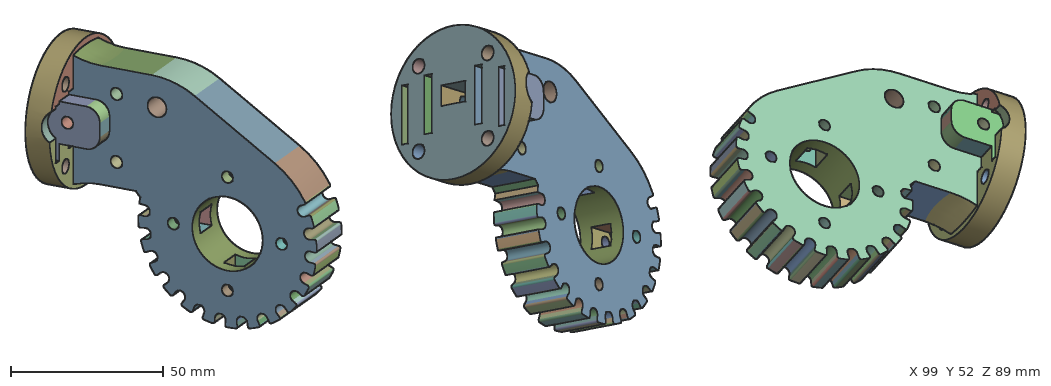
import cadquery as cq
import math


wheel_radius = 33.01
groove_pitch = 360 / 24
groove_count = 15
first_groove_angle = 175.0
groove_root_radius = 28.75
groove_width = 3.9
tooth_tip_fillet = 0.7
bore_radius = 13.0
body_thickness = 18.0

bore_screw_count = 4
bore_screw_radius = 20.0
bore_screw_diameter = 4.1
bore_nut_width = 7.5
bore_nut_thickness = 8.0

flange_radius = 26.0
flange_thickness = 9.0
flange_back_x = -66.0
flange_front_x = flange_back_x + flange_thickness
flange_center_z = 30.0
flange_hole_offset = 14.45
flange_hole_diameter = 5.0

strap_slot_height = 20.0
inner_slot_width = 3.0
inner_slot_center_z = 31.0
outer_slot_width = 2.4
outer_slot_center_z = 29.0

arm_height = 42.0
arm_top_z = flange_center_z + arm_height / 2
arm_bottom_z = flange_center_z - arm_height / 2
shoulder_center_x = -28.0
shoulder_radius = 30.0
arm_bottom_end_x = -33.9
arm_bottom_rim_angle = math.radians(167.6)
flare_radius = 25.0
flare_sweep_radius = 34.0
flare_end_x = -46.0

arm_holes = [(-41.0, 42.0, 4.3), (-41.0, 18.0, 4.3), (-26.0, 40.0, 7.0)]

lug_gap = inner_slot_width
lug_thickness = 7.0
lug_inner_y = body_thickness / 2 + lug_gap
lug_outer_y = lug_inner_y + lug_thickness
lug_length = 15.0
lug_height = 15.0
lug_center_z = 32.5
lug_corner_radius = 5.0
lug_end_x = flange_front_x + lug_length

hinge_x = -54.0
hinge_z = 33.0
hinge_diameter = 4.3
hinge_head_radius = 6.0
hinge_nut_width = 7.0
hinge_nut_thickness = 10.0


def box(x_range, y_range, z_range):
    """Axis-aligned box spanning the given (low, high) ranges."""
    size = [high - low for low, high in (x_range, y_range, z_range)]
    corner = (x_range[0], y_range[0], z_range[0])
    return cq.Workplane("XY").box(*size, centered=False).translate(corner)


def span(center, width):
    """(low, high) range of the given width about a center."""
    return (center - width / 2, center + width / 2)


def y_cylinder(x, z, radius, y_range):
    """Cylinder parallel to Y between two y positions."""
    low, high = y_range
    plane = cq.Workplane("XZ", origin=(0, high, 0))
    return plane.center(x, z).circle(radius).extrude(high - low)


def nut_pocket(x, z, angle, opening_length, width, thickness):
    """Slot for a nut with its axis along Y: straight sides and a hexagonal blind end.

    The slot opens towards the local -X side; angle turns it about the pocket center.
    """
    half_width = width / 2
    half_flat_angle = math.pi / 6
    flat_end = half_width * math.tan(half_flat_angle)
    apex = half_width / math.cos(half_flat_angle)
    pocket = (
        cq.Workplane("XZ", origin=(0, thickness / 2, 0))
        .moveTo(-opening_length, -half_width)
        .lineTo(flat_end, -half_width)
        .lineTo(apex, 0)
        .lineTo(flat_end, half_width)
        .lineTo(-opening_length, half_width)
        .close()
        .extrude(thickness)
    )
    return pocket.rotate((0, 0, 0), (0, -1, 0), angle).translate((x, 0, z))


def is_rounded_tip(edge):
    """True for rim edges beside the grooves, except the first one, which stays sharp."""
    center = edge.Center()
    on_rim = math.isclose(math.hypot(center.x, center.z), wheel_radius)
    angle = math.degrees(math.atan2(center.z, center.x)) % 360
    lip_reach = groove_pitch / 4
    offset = (angle - first_groove_angle) % groove_pitch
    beside_groove = min(offset, groove_pitch - offset) < lip_reach
    first_edge = first_groove_angle - lip_reach < angle < first_groove_angle
    return on_rim and beside_groove and not first_edge


def make_wheel():
    """Disc with round-bottomed grooves on part of its rim and rounded tooth tips."""
    wheel = y_cylinder(0, 0, wheel_radius, span(0, body_thickness))
    grooves = (
        cq.Workplane("XZ", origin=(0, body_thickness, 0))
        .polarArray(wheel_radius, first_groove_angle, groove_pitch, groove_count, fill=False)
        .slot2D(2 * (wheel_radius - groove_root_radius), groove_width)
        .extrude(2 * body_thickness)
    )
    wheel = wheel.cut(grooves)
    tooth_tips = wheel.edges("|Y").filter(is_rounded_tip)
    return tooth_tips.fillet(tooth_tip_fillet)


def make_arm():
    """Plate from the flange to the wheel, its sloping top tangent to the wheel rim."""
    shoulder_center_z = arm_top_z - shoulder_radius
    center_distance = math.hypot(shoulder_center_x, shoulder_center_z)
    tangent_angle = math.atan2(shoulder_center_z, shoulder_center_x) - math.acos(
        (wheel_radius - shoulder_radius) / center_distance
    )

    def on_shoulder(angle):
        return (
            shoulder_center_x + shoulder_radius * math.cos(angle),
            shoulder_center_z + shoulder_radius * math.sin(angle),
        )

    mid_angle = (tangent_angle + math.pi / 2) / 2

    def on_rim(angle):
        return (wheel_radius * math.cos(angle), wheel_radius * math.sin(angle))

    return (
        cq.Workplane("XZ", origin=(0, body_thickness / 2, 0))
        .moveTo(flange_front_x, arm_bottom_z)
        .lineTo(flange_front_x, arm_top_z)
        .lineTo(shoulder_center_x, arm_top_z)
        .threePointArc(on_shoulder(mid_angle), on_shoulder(tangent_angle))
        .lineTo(*on_rim(tangent_angle))
        .lineTo(0, 0)
        .lineTo(*on_rim(arm_bottom_rim_angle))
        .lineTo(arm_bottom_end_x, arm_bottom_z)
        .close()
        .extrude(body_thickness)
    )


def make_flares():
    """Concave flares widening the arm above and below where it meets the flange."""
    flare_height = flange_radius - arm_height / 2
    blank = box(
        (flange_front_x, flare_end_x),
        span(0, body_thickness),
        (arm_top_z, arm_top_z + flare_height),
    )
    sweep_center_x = flare_end_x - flare_sweep_radius
    hollow = cq.Workplane(cq.Solid.makeTorus(flare_sweep_radius, flare_radius))
    hollow = hollow.translate((sweep_center_x, 0, arm_top_z + flare_radius))
    run_out = (
        cq.Workplane("XY", origin=(sweep_center_x, 0, arm_top_z))
        .circle(flare_sweep_radius)
        .extrude(flare_height)
    )
    upper = blank.intersect(run_out).cut(hollow)
    lower = upper.mirror("XY", (0, 0, flange_center_z))
    return upper.union(lower)


def make_flange():
    """Round mounting plate with corner holes and vertical strap slots."""
    plane = cq.Workplane("YZ", origin=(flange_back_x, 0, flange_center_z))
    flange = plane.circle(flange_radius).extrude(flange_thickness)
    holes = (
        plane.rect(2 * flange_hole_offset, 2 * flange_hole_offset, forConstruction=True)
        .vertices()
        .circle(flange_hole_diameter / 2)
        .extrude(flange_thickness)
    )
    flange = flange.cut(holes)
    slots = [
        (body_thickness / 2, inner_slot_width, inner_slot_center_z),
        (lug_outer_y, outer_slot_width, outer_slot_center_z),
    ]
    for slot_y, slot_width, slot_z in slots:
        slot = box(
            (flange_back_x, flange_front_x),
            (slot_y, slot_y + slot_width),
            span(slot_z, strap_slot_height),
        )
        flange = flange.cut(slot).cut(slot.mirror("XZ"))
    head_clearance = y_cylinder(hinge_x, hinge_z, hinge_head_radius, (lug_outer_y, flange_radius))
    return flange.cut(head_clearance).cut(head_clearance.mirror("XZ"))


def make_lugs():
    """Pair of plates with rounded end corners, one on each side of the arm."""
    lug = box(
        (flange_front_x, lug_end_x),
        (lug_inner_y, lug_outer_y),
        span(lug_center_z, lug_height),
    )
    lug = lug.edges("|Y and >X").fillet(lug_corner_radius)
    return lug.union(lug.mirror("XZ"))


def cut_bore(body):
    """Cut the bore, the screw holes around it and their nut pockets."""
    through = span(0, body_thickness)
    body = body.cut(y_cylinder(0, 0, bore_radius, through))
    for index in range(bore_screw_count):
        angle = index * 360 / bore_screw_count
        x = bore_screw_radius * math.cos(math.radians(angle))
        z = bore_screw_radius * math.sin(math.radians(angle))
        body = body.cut(y_cylinder(x, z, bore_screw_diameter / 2, through))
        pocket = nut_pocket(x, z, angle, bore_screw_radius, bore_nut_width, bore_nut_thickness)
        body = body.cut(pocket)
    return body


def cut_arm_holes(body):
    """Drill the arm holes and the hinge hole, and cut the hinge nut pocket."""
    for x, z, diameter in arm_holes:
        body = body.cut(y_cylinder(x, z, diameter / 2, span(0, body_thickness)))
    body = body.cut(y_cylinder(hinge_x, hinge_z, hinge_diameter / 2, (-lug_outer_y, lug_outer_y)))
    opening_length = hinge_x - flange_back_x
    return body.cut(
        nut_pocket(hinge_x, hinge_z, 0, opening_length, hinge_nut_width, hinge_nut_thickness)
    )


body = make_flange()
for feature in (make_flares(), make_arm(), make_wheel(), make_lugs()):
    body = body.union(feature)
body = cut_bore(body)
result = cut_arm_holes(body)